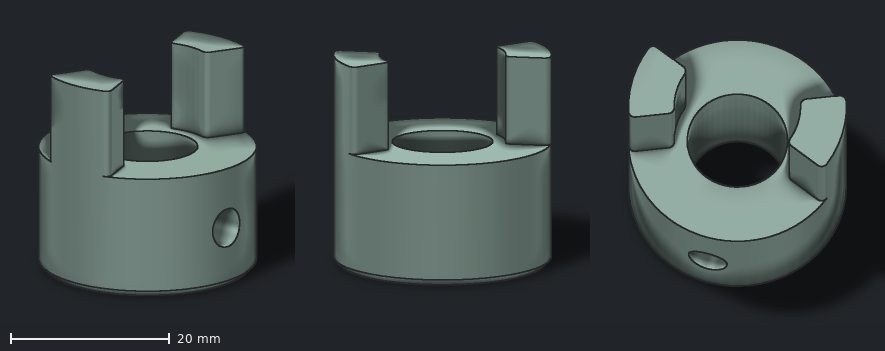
import cadquery as cq
import math

outer_radius = 13.72
bore_radius = 6.3
hub_height = 15.6
bottom_chamfer = 0.82

total_height = 26.85
jaw_height = total_height - hub_height
jaw_inner_radius = 7.95
jaw_half_angle = 22.5
jaw_edge_radius = 0.8
jaw_directions = (90, 270)

screw_hole_radius = 2.5
screw_hole_height = hub_height / 2


def polar(radius, angle):
    """Point at the given radius and angle in degrees."""
    radians = math.radians(angle)
    return radius * math.cos(radians), radius * math.sin(radians)


def make_blank():
    """Chamfered cylinder as tall as the hub and jaws together."""
    blank = cq.Workplane("XY").circle(outer_radius).extrude(total_height)
    return blank.faces("<Z").edges().chamfer(bottom_chamfer)


def make_jaw(direction):
    """Ring sector with radial flanks and rounded vertical edges."""
    start = direction - jaw_half_angle
    end = direction + jaw_half_angle
    return (
        cq.Workplane("XY", origin=(0, 0, hub_height))
        .moveTo(*polar(jaw_inner_radius, start))
        .lineTo(*polar(outer_radius, start))
        .threePointArc(polar(outer_radius, direction), polar(outer_radius, end))
        .lineTo(*polar(jaw_inner_radius, end))
        .threePointArc(polar(jaw_inner_radius, direction), polar(jaw_inner_radius, start))
        .close()
        .extrude(jaw_height)
        .edges("|Z")
        .fillet(jaw_edge_radius)
    )


def make_jaw_clearance():
    """Everything above the hub except the jaws, so that they stay flush with its side."""
    clearance = cq.Workplane("XY", origin=(0, 0, hub_height)).circle(outer_radius).extrude(jaw_height)
    for direction in jaw_directions:
        clearance = clearance.cut(make_jaw(direction))
    return clearance


def make_bore():
    return cq.Workplane("XY").circle(bore_radius).extrude(hub_height)


def make_screw_hole():
    """Cylinder from the hub axis out through the +X side."""
    return (
        cq.Workplane("YZ", origin=(0, 0, screw_hole_height))
        .circle(screw_hole_radius)
        .extrude(outer_radius)
    )


result = make_blank().cut(make_jaw_clearance()).cut(make_bore()).cut(make_screw_hole())